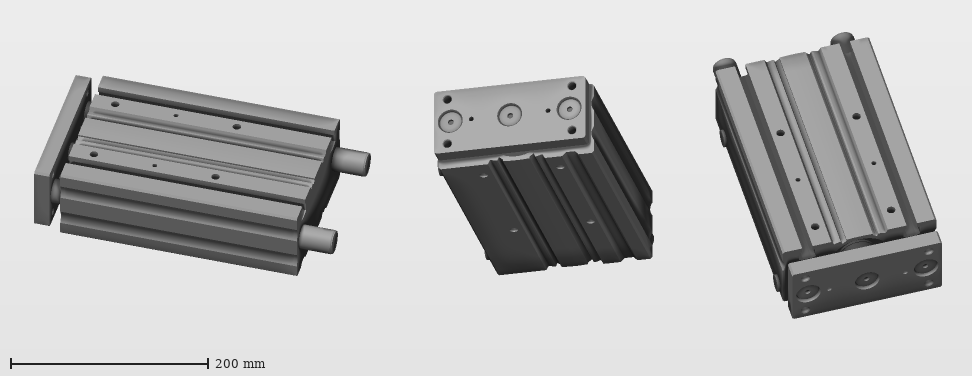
import cadquery as cq


plate_thickness = 16.0
plate_gap = 12.0
housing_start = plate_thickness + plate_gap
housing_length = 249.0
housing_end = housing_start + housing_length
housing_half_width = 81.0
housing_half_height = 39.0
housing_corner = 2.0
overall_length = 311.5

guide_offset = 62.0
guide_diameter = 25.0
guide_tip_diameter = 24.0
guide_tip_length = 1.7
guide_tip_taper = 1.0
piston_diameter = 20.0
rod_seat_diameter = 24.0
rod_seat_recess = 2.5
rod_seat_chamfer = 1.0
seat_mouth_widening = 1.0
rod_centre_hole_diameter = 6.0
rod_centre_hole_depth = 3.0

plate_half_width = 79.0
plate_half_height = 35.0
plate_corner = 2.0
plate_screw_y = 65.0
plate_screw_z = 25.0
plate_screw_diameter = 8.4
plate_screw_chamfer = 0.8
plate_screw_chamfer_angle = 90.0
pin_diameter = 5.0
pin_offset = 40.0

band_half_width = 29.8
groove_floor_y = 27.2
groove_floor_z = 34.3
lip_outer_y = 21.7
lip_inner_y = 19.8
lip_z = 36.0
notch_outer_y = 18.4
notch_inner_y = 17.6
notch_z = 32.6
dome_edge_y = 13.8
dome_edge_z = 37.4
dome_foot_z = 35.6
dome_top_z = 38.0

t_slot_offset = 55.0
t_slot_mouth = 11.0
t_slot_width = 17.8
t_slot_floor = 9.0
t_slot_lip_depth = 6.2
t_slot_wide_height = 10.8
t_slot_depth = 18.5

taper_slot_centre = -56.5
taper_slot_mouth = 17.5
taper_slot_depth = 4.0

side_groove_centre = 16.9
side_groove_width = 15.1
side_groove_depth = 2.5

mount_y = 40.0
mount_near_x = 52.0
mount_far_x = 180.0
mount_diameter = 8.6
mount_pin_x = (mount_near_x + mount_far_x) / 2
mount_pin_depth = 10.0

port_diameter = 18.0
port_height = 3.0
port_z = -28.0
port_near_x = 44.6
port_far_x = 242.3

bore_diameter = 67.0
cover_recess = 11.0
cover_flange = 10.0
cover_boss_diameter = 37.0
cover_step_diameter = 38.4
cover_step_height = 2.5


def x_cylinder(diameter, x_from, x_to, y=0.0, z=0.0):
    """Cylinder along X between two X positions."""
    return (
        cq.Workplane("YZ", origin=(x_from, y, z))
        .circle(diameter / 2)
        .extrude(x_to - x_from)
    )


def housing_prism(points):
    """Closed outline in Y and Z, run along the whole housing."""
    outline = cq.Workplane("YZ", origin=(housing_start, 0, 0)).polyline(points)
    return outline.close().extrude(housing_length)


def band_cutter():
    """Space above the centre dome and its two sensor grooves on the top face."""
    right_side = [
        (dome_edge_y, dome_edge_z),
        (dome_edge_y, dome_foot_z),
        (notch_inner_y, notch_z),
        (notch_outer_y, notch_z),
        (lip_inner_y, lip_z),
        (lip_outer_y, lip_z),
        (groove_floor_y, groove_floor_z),
        (band_half_width, housing_half_height),
    ]
    left_side = [(-y, z) for y, z in reversed(right_side)]
    outline = cq.Workplane("YZ", origin=(housing_start, 0, 0)).moveTo(*left_side[0])
    for point in left_side[1:]:
        outline = outline.lineTo(*point)
    outline = outline.threePointArc((0, dome_top_z), right_side[0])
    for point in right_side[1:]:
        outline = outline.lineTo(*point)
    return outline.close().extrude(housing_length)


def t_slot_cutter(centre):
    """T-slot opening on the top face, with a floor that tapers in."""
    top = housing_half_height
    lip = top - t_slot_lip_depth
    shoulder = lip - t_slot_wide_height
    floor = top - t_slot_depth
    right_side = [
        (t_slot_floor / 2, floor),
        (t_slot_width / 2, shoulder),
        (t_slot_width / 2, lip),
        (t_slot_mouth / 2, lip),
        (t_slot_mouth / 2, top),
    ]
    left_side = [(-y, z) for y, z in reversed(right_side)]
    return housing_prism([(centre + y, z) for y, z in right_side + left_side])


def taper_slot_cutter():
    """Shallow slot in the bottom face with 45 degree sides."""
    mouth = taper_slot_mouth / 2
    floor = mouth - taper_slot_depth
    bottom = -housing_half_height
    return housing_prism(
        [
            (taper_slot_centre - mouth, bottom),
            (taper_slot_centre + mouth, bottom),
            (taper_slot_centre + floor, bottom + taper_slot_depth),
            (taper_slot_centre - floor, bottom + taper_slot_depth),
        ]
    )


def side_groove_cutter(side, z):
    """Round groove along one side; side is +1 for +Y and -1 for -Y."""
    half_width = side_groove_width / 2
    radius = (half_width**2 + side_groove_depth**2) / (2 * side_groove_depth)
    centre_y = side * (housing_half_width - side_groove_depth + radius)
    return x_cylinder(2 * radius, housing_start, housing_end, centre_y, z)


def make_housing():
    """Extruded body with its slots, grooves, mounting holes, rod bores and port plugs."""
    body = (
        cq.Workplane("YZ", origin=(housing_start, 0, 0))
        .rect(2 * housing_half_width, 2 * housing_half_height)
        .extrude(housing_length)
        .edges("|X")
        .chamfer(housing_corner)
    )
    band = band_cutter()
    body = body.cut(band).cut(band.mirror("XY"))
    for side in (-1, 1):
        body = body.cut(t_slot_cutter(side * t_slot_offset))
    body = body.cut(taper_slot_cutter())
    body = body.cut(side_groove_cutter(1, side_groove_centre))
    for z in (-side_groove_centre, side_groove_centre):
        body = body.cut(side_groove_cutter(-1, z))

    mounts = [(x, side * mount_y) for x in (mount_near_x, mount_far_x) for side in (-1, 1)]
    pins = [(mount_pin_x, side * mount_y) for side in (-1, 1)]
    top = cq.Workplane("XY", origin=(0, 0, housing_half_height))
    body = body.cut(top.pushPoints(mounts).circle(mount_diameter / 2).extrude(-2 * housing_half_height))
    body = body.cut(top.pushPoints(pins).circle(pin_diameter / 2).extrude(-mount_pin_depth))

    for side in (-1, 1):
        body = body.cut(x_cylinder(guide_diameter, housing_start, housing_end, side * guide_offset))
    bore_end = housing_start + cover_recess + cover_flange
    body = body.cut(x_cylinder(bore_diameter, housing_start, bore_end))

    for x in (port_near_x, port_far_x):
        port = (
            cq.Workplane("XZ", origin=(x, housing_half_width, port_z))
            .circle(port_diameter / 2)
            .extrude(-port_height)
        )
        body = body.union(port)
    return body


def seat_mouth_cutter(y):
    """Cone that opens a rod seat towards the front of the plate."""
    seat_radius = rod_seat_diameter / 2
    return cq.Workplane(
        cq.Solid.makeCone(
            seat_radius + seat_mouth_widening,
            seat_radius,
            rod_seat_recess,
            cq.Vector(0, y, 0),
            cq.Vector(1, 0, 0),
        )
    )


def make_plate():
    """Front plate with three rod seats, two pin holes and four chamfered screw holes."""
    plate = (
        cq.Workplane("YZ")
        .rect(2 * plate_half_width, 2 * plate_half_height)
        .extrude(plate_thickness)
        .edges("|X")
        .chamfer(plate_corner)
    )
    for y in (-guide_offset, 0, guide_offset):
        seat = x_cylinder(rod_seat_diameter, 0, plate_thickness, y)
        plate = plate.cut(seat).cut(seat_mouth_cutter(y))
    for y in (-pin_offset, pin_offset):
        plate = plate.cut(x_cylinder(pin_diameter, 0, plate_thickness, y))
    screw_mouth_diameter = plate_screw_diameter + 2 * plate_screw_chamfer
    return (
        plate.faces("<X")
        .workplane(origin=(0, 0, 0))
        .rect(2 * plate_screw_y, 2 * plate_screw_z, forConstruction=True)
        .vertices()
        .cskHole(plate_screw_diameter, screw_mouth_diameter, plate_screw_chamfer_angle)
    )


def rod_seat(y):
    """Front end of a rod, filling its seat in the plate, with a centre hole."""
    seat = x_cylinder(rod_seat_diameter, rod_seat_recess, plate_thickness, y)
    seat = seat.faces("<X").chamfer(rod_seat_chamfer)
    hole_end = rod_seat_recess + rod_centre_hole_depth
    return seat.cut(x_cylinder(rod_centre_hole_diameter, rod_seat_recess, hole_end, y))


def make_guide_rod(y):
    """Guide rod from its seat in the plate, through the housing, to a reduced tip."""
    shaft_end = overall_length - guide_tip_length
    tip_step = (guide_diameter - guide_tip_diameter) / 2
    shaft = x_cylinder(guide_diameter, plate_thickness, shaft_end + guide_tip_taper, y)
    shaft = shaft.faces(">X").chamfer(guide_tip_taper, tip_step)
    tip = x_cylinder(guide_tip_diameter, shaft_end, overall_length, y)
    return shaft.union(tip).union(rod_seat(y))


def make_piston_rod():
    """Piston rod from its seat in the plate to the back of the rod cover."""
    rod_end = housing_start + cover_recess + cover_flange
    return x_cylinder(piston_diameter, plate_thickness, rod_end).union(rod_seat(0))


def make_rod_cover():
    """Stepped ring around the piston rod, with its flange filling the bore."""
    flange_start = housing_start + cover_recess
    flange_end = flange_start + cover_flange
    cover = x_cylinder(bore_diameter, flange_start, flange_end)
    cover = cover.union(x_cylinder(cover_boss_diameter, housing_start, flange_start))
    cover = cover.union(x_cylinder(cover_step_diameter, flange_start - cover_step_height, flange_start))
    return cover.cut(x_cylinder(piston_diameter, housing_start, flange_end))


housing = make_housing()
plate = make_plate()
guide_rods = [make_guide_rod(side * guide_offset) for side in (-1, 1)]
piston_rod = make_piston_rod()
rod_cover = make_rod_cover()

result = cq.Compound.makeCompound(
    [
        housing.val(),
        plate.val(),
        *[rod.val() for rod in guide_rods],
        piston_rod.val(),
        rod_cover.val(),
    ]
)